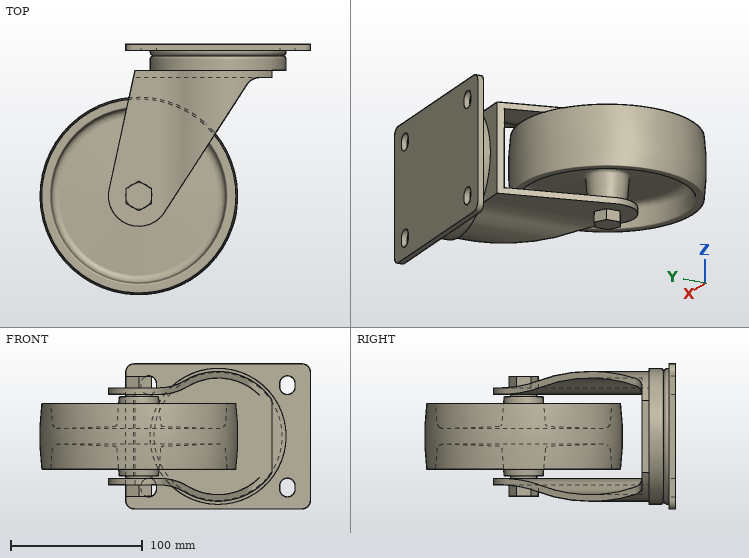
import cadquery as cq
import math


OVERALL_HEIGHT = 190.0
WHEEL_RADIUS = 75.0
AXLE_X = -60.0
AXLE_Y = WHEEL_RADIUS - OVERALL_HEIGHT

PLATE_LENGTH = 140.0
PLATE_WIDTH = 110.0
PLATE_THICKNESS = 5.0
PLATE_CORNER_RADIUS = 6.5
SLOT_PITCH_X = 105.0
SLOT_PITCH_Z = 77.5
SLOT_WIDTH = 11.5
SLOT_LENGTH = 14.0

HEAD_RADIUS = 103.04 / 2
HEAD_SPLIT_DEPTH = 9.0
HEAD_BOTTOM_DEPTH = 20.0
UPPER_RACE_ROUND = 3.0
LOWER_RACE_ROUND = 2.5

FORK_THICKNESS = 5.0
FORK_CROWN_THICKNESS = 5.5
FORK_HALF_WIDTH = 36.8
FORK_BULGE_RADIUS = 49.2
FORK_FLARE_X = -43.9
FORK_BACK_X = -63.0
FORK_FRONT_X = 41.0
FORK_EYE_RADIUS = 23.0
FORK_FRONT_SLOPE = math.radians(57.1)
FORK_FRONT_FILLET = 11.0

WHEEL_HALF_WIDTH = 25.0
TREAD_EDGE_RADIUS = 73.4
TREAD_EDGE_ROUND = 0.7
RIM_LIP_RADIUS = 66.8
RIM_ROOT_RADIUS = 65.3
RIM_LIP_ROUND = 1.0
RIM_ROOT_FILLET = 5.0
WEB_HALF_AT_RIM = 5.6
WEB_HALF_AT_HUB = 7.5
HUB_TIP_RADIUS = 14.9
HUB_ROOT_RADIUS = 16.7
HUB_HALF_LENGTH = 30.0
HUB_TIP_ROUND = 0.8
HUB_ROOT_FILLET = 2.3

SPACER_RADIUS = 20.02 / 2
BOLT_HEAD_FLATS = 19.4
BOLT_HEAD_HEIGHT = 8.7


def xz_plane(depth):
    """Plane parallel to the mounting plate, facing the wheel; local axes are X and Z."""
    return cq.Plane(origin=(0, -depth, 0), xDir=(1, 0, 0), normal=(0, -1, 0))


def make_plate():
    plate = cq.Workplane(xz_plane(0)).rect(PLATE_LENGTH, PLATE_WIDTH).extrude(PLATE_THICKNESS)
    plate = plate.edges("|Y").fillet(PLATE_CORNER_RADIUS)
    slots = (
        cq.Workplane(xz_plane(0))
        .rect(SLOT_PITCH_X, SLOT_PITCH_Z, forConstruction=True)
        .vertices()
        .slot2D(SLOT_LENGTH, SLOT_WIDTH, 90)
        .extrude(PLATE_THICKNESS)
    )
    return plate.cut(slots)


def make_race(start_depth, end_depth):
    return cq.Workplane(xz_plane(start_depth)).circle(HEAD_RADIUS).extrude(end_depth - start_depth)


def make_swivel_head():
    upper = make_race(PLATE_THICKNESS, HEAD_SPLIT_DEPTH).faces("<Y").edges().fillet(UPPER_RACE_ROUND)
    lower = make_race(HEAD_SPLIT_DEPTH, HEAD_BOTTOM_DEPTH).faces(">Y").edges().fillet(LOWER_RACE_ROUND)
    return upper.union(lower)


def fork_prism(inset, start_depth, end_depth):
    """Prism of the fork's plan outline: straight cheeks, a reverse curve, then a round bulge."""
    half_width = FORK_HALF_WIDTH - inset
    bulge = FORK_BULGE_RADIUS - inset
    flare_centre_z = FORK_HALF_WIDTH + (
        FORK_FLARE_X**2 + FORK_HALF_WIDTH**2 - FORK_BULGE_RADIUS**2
    ) / (2 * (FORK_BULGE_RADIUS - FORK_HALF_WIDTH))
    flare = flare_centre_z - half_width
    join_angle = math.atan2(flare_centre_z, FORK_FLARE_X)
    join = (bulge * math.cos(join_angle), bulge * math.sin(join_angle))
    mid_angle = (join_angle - math.pi / 2) / 2
    flare_mid = (
        FORK_FLARE_X + flare * math.sin(mid_angle),
        flare_centre_z - flare * math.cos(mid_angle),
    )
    back_x = AXLE_X - FORK_EYE_RADIUS
    front_z = math.sqrt(bulge**2 - FORK_FRONT_X**2)
    half = (
        cq.Workplane(xz_plane(start_depth))
        .moveTo(back_x, 0)
        .lineTo(back_x, half_width)
        .lineTo(FORK_FLARE_X, half_width)
        .threePointArc(flare_mid, join)
        .threePointArc((0, bulge), (FORK_FRONT_X, front_z))
        .lineTo(FORK_FRONT_X, 0)
        .close()
        .extrude(end_depth - start_depth)
    )
    return half.union(half.mirror("XY"))


def fork_side_prism():
    """Prism of the fork's side outline: both edges run tangent to the eye around the axle."""
    crown_y = -HEAD_BOTTOM_DEPTH
    lip_y = crown_y - FORK_CROWN_THICKNESS

    corner_dx = FORK_BACK_X - AXLE_X
    corner_dy = crown_y - AXLE_Y
    corner_distance = math.hypot(corner_dx, corner_dy)
    back_angle = math.atan2(corner_dy, corner_dx) + math.acos(FORK_EYE_RADIUS / corner_distance)
    front_angle = FORK_FRONT_SLOPE - math.pi / 2
    eye_angle = (back_angle + front_angle - 2 * math.pi) / 2

    def on_eye(angle):
        return (
            AXLE_X + FORK_EYE_RADIUS * math.cos(angle),
            AXLE_Y + FORK_EYE_RADIUS * math.sin(angle),
        )

    front_tangent = on_eye(front_angle)
    lip_x = front_tangent[0] + (lip_y - front_tangent[1]) / math.tan(FORK_FRONT_SLOPE)
    prism = (
        cq.Workplane("XY")
        .moveTo(FORK_BACK_X, crown_y)
        .lineTo(*on_eye(back_angle))
        .threePointArc(on_eye(eye_angle), front_tangent)
        .lineTo(lip_x, lip_y)
        .lineTo(FORK_FRONT_X, lip_y)
        .lineTo(FORK_FRONT_X, crown_y)
        .close()
        .extrude(FORK_BULGE_RADIUS, both=True)
    )
    lip_corner = cq.selectors.NearestToPointSelector((lip_x, lip_y, 0))
    return prism.edges("|Z").edges(lip_corner).fillet(FORK_FRONT_FILLET)


def make_fork():
    crown_bottom = HEAD_BOTTOM_DEPTH + FORK_CROWN_THICKNESS
    outer = fork_prism(0, HEAD_BOTTOM_DEPTH, OVERALL_HEIGHT)
    inner = fork_prism(FORK_THICKNESS, crown_bottom, OVERALL_HEIGHT)
    return outer.cut(inner).intersect(fork_side_prism())


def make_wheel():
    half_profile = [
        (0, 0),
        (0, HUB_HALF_LENGTH),
        (HUB_TIP_RADIUS, HUB_HALF_LENGTH),
        (HUB_ROOT_RADIUS, WEB_HALF_AT_HUB),
        (RIM_ROOT_RADIUS, WEB_HALF_AT_RIM),
        (RIM_LIP_RADIUS, WHEEL_HALF_WIDTH),
        (TREAD_EDGE_RADIUS, WHEEL_HALF_WIDTH),
    ]
    mirrored = [(r, -z) for r, z in reversed(half_profile)]
    wheel = (
        cq.Workplane("XZ")
        .polyline(half_profile)
        .threePointArc((WHEEL_RADIUS, 0), mirrored[0])
        .polyline(mirrored, includeCurrent=False)
        .close()
        .revolve(360, (0, 0, 0), (0, 1, 0))
    )
    rounds = [
        (HUB_TIP_RADIUS, HUB_TIP_ROUND),
        (HUB_ROOT_RADIUS, HUB_ROOT_FILLET),
        (RIM_ROOT_RADIUS, RIM_ROOT_FILLET),
        (RIM_LIP_RADIUS, RIM_LIP_ROUND),
        (TREAD_EDGE_RADIUS, TREAD_EDGE_ROUND),
    ]
    for edge_radius, round_radius in rounds:
        rims = wheel.edges("%CIRCLE").filter(lambda edge: math.isclose(edge.radius(), edge_radius))
        wheel = rims.fillet(round_radius)
    return wheel.translate((AXLE_X, AXLE_Y, 0))


def make_axle():
    spacer_half = FORK_HALF_WIDTH - FORK_THICKNESS / 2
    head_half = FORK_HALF_WIDTH + BOLT_HEAD_HEIGHT
    across_corners = BOLT_HEAD_FLATS / math.cos(math.pi / 6)
    axle = cq.Workplane("XY").circle(SPACER_RADIUS).extrude(spacer_half, both=True)
    for start in (FORK_HALF_WIDTH, -head_half):
        hexagon = cq.Workplane("XY", origin=(0, 0, start)).polygon(6, across_corners)
        head = hexagon.extrude(BOLT_HEAD_HEIGHT)
        axle = axle.union(head.rotate((0, 0, 0), (0, 0, 1), 90))
    return axle.translate((AXLE_X, AXLE_Y, 0))


result = (
    make_plate()
    .union(make_swivel_head())
    .union(make_fork())
    .union(make_wheel())
    .union(make_axle())
)